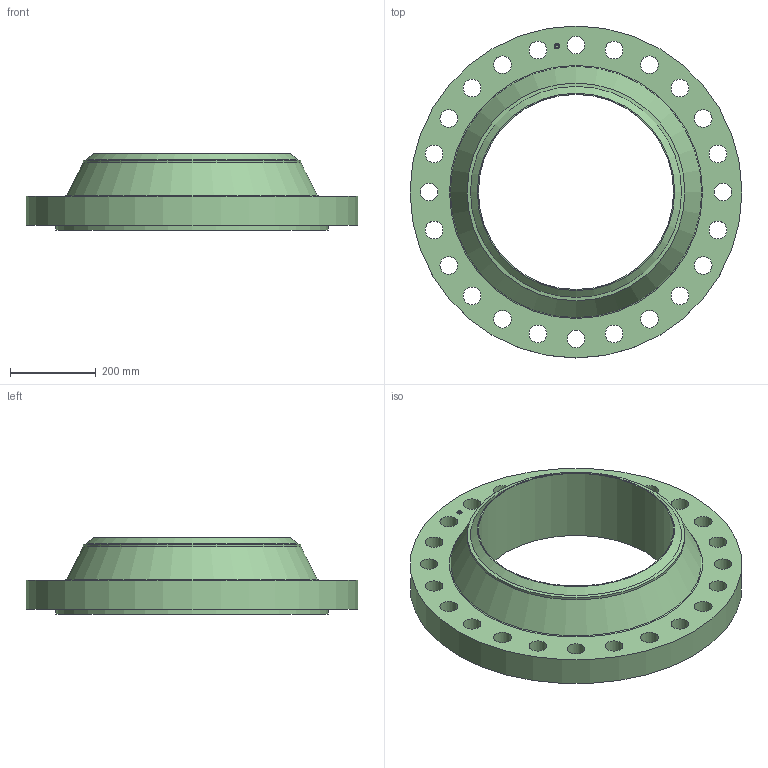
import cadquery as cq
import math


flange_diameter = 774.7
flange_thickness = 68.3

raised_face_diameter = 635.0
raised_face_height = 11.1

overall_height = 177.67
hub_base_diameter = 587.0
hub_fillet_radius = 3.0
pipe_diameter = 508.0
wall_thickness = 26.19
weld_land = 2.4
weld_bevel_height = 14.0
weld_bevel_width = 16.0
shoulder_drop = 1.0
pipe_band_height = 6.0

bolt_count = 24
bolt_circle_diameter = 685.8
bolt_hole_diameter = 41.3

small_hole_diameter = 7.0
small_hole_depth = 20.0
small_recess_diameter = 12.5
small_recess_depth = 1.5
bolt_pitch_angle = 360.0 / bolt_count
small_hole_angle = 90.0 + bolt_pitch_angle / 2

bore_radius = pipe_diameter / 2 - wall_thickness
flange_top = raised_face_height + flange_thickness
land_radius = bore_radius + weld_land
shoulder_inner_radius = land_radius + weld_bevel_width
shoulder_top = overall_height - weld_bevel_height
band_top = shoulder_top - shoulder_drop
cone_top = band_top - pipe_band_height


def flange_body():
    """Revolved body: raised face, disc, tapered hub and bevelled weld end."""
    return (
        cq.Workplane("XZ")
        .moveTo(bore_radius, 0)
        .lineTo(raised_face_diameter / 2, 0)
        .lineTo(raised_face_diameter / 2, raised_face_height)
        .lineTo(flange_diameter / 2, raised_face_height)
        .lineTo(flange_diameter / 2, flange_top)
        .lineTo(hub_base_diameter / 2, flange_top)
        .lineTo(pipe_diameter / 2, cone_top)
        .lineTo(pipe_diameter / 2, band_top)
        .lineTo(shoulder_inner_radius, shoulder_top)
        .lineTo(land_radius, overall_height)
        .lineTo(bore_radius, overall_height)
        .close()
        .revolve(360, (0, 0, 0), (0, 1, 0))
    )


def fillet_hub_base(body):
    """Round the corner where the cone meets the disc."""
    tolerance = 0.5
    corner = cq.selectors.BoxSelector(
        (-hub_base_diameter, -hub_base_diameter, flange_top - tolerance),
        (hub_base_diameter, hub_base_diameter, flange_top + tolerance),
    )
    hub_edges = body.edges(corner).edges(cq.selectors.RadiusNthSelector(0))
    return hub_edges.fillet(hub_fillet_radius)


def bolt_holes():
    """Cutters for the ring of through bolt holes."""
    return (
        cq.Workplane("XY")
        .polarArray(bolt_circle_diameter / 2, 0, 360, bolt_count)
        .circle(bolt_hole_diameter / 2)
        .extrude(flange_top)
    )


def small_stepped_hole():
    """Cutter for the small blind hole and the shallow recess around its mouth."""
    angle = math.radians(small_hole_angle)
    radius = bolt_circle_diameter / 2
    mouth = cq.Workplane(
        "XY", origin=(radius * math.cos(angle), radius * math.sin(angle), flange_top)
    )
    recess = mouth.circle(small_recess_diameter / 2).extrude(-small_recess_depth)
    hole = mouth.circle(small_hole_diameter / 2).extrude(-small_hole_depth)
    return recess.union(hole)


result = fillet_hub_base(flange_body()).cut(bolt_holes()).cut(small_stepped_hole())